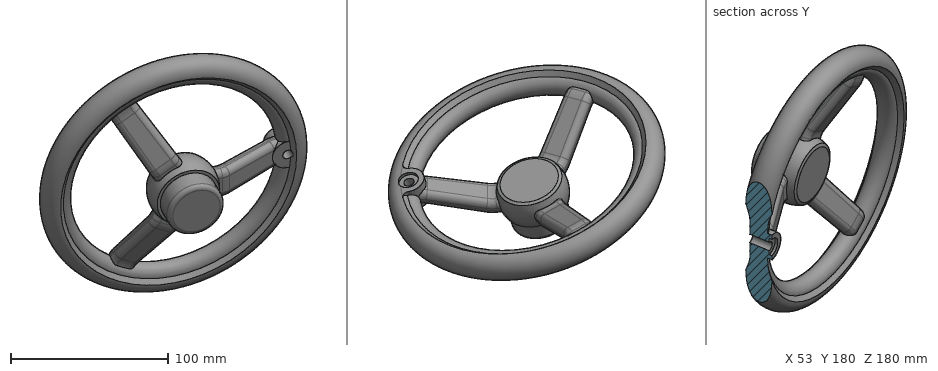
import cadquery as cq
import math


GRIP_RADIUS = 10.0
RIM_OUTER_RADIUS = 90.0
GRIP_CENTRE_RADIUS = RIM_OUTER_RADIUS - GRIP_RADIUS
RIM_MID_X = GRIP_RADIUS
CORE_RADIUS = 7.0
CORE_CENTRE_RADIUS = RIM_OUTER_RADIUS - 2 * GRIP_RADIUS + CORE_RADIUS

HUB_MID_X = 28.0
HUB_BALL_RADIUS = 23.4
HUB_HALF_LENGTH = 10.0
HUB_FRONT_FACE_RADIUS = 19.0
HUB_FRONT_BEVEL_DEPTH = 0.8
STUB_RADIUS = 19.0
STUB_END_X = 53.0
STUB_ROUND = 3.0

SPOKE_COUNT = 3
SPOKE_HUB_WIDTH = 21.2
SPOKE_RIM_WIDTH = 18.8
SPOKE_HUB_THICKNESS = 10.6
SPOKE_RIM_THICKNESS = 10.1
SPOKE_INNER_RADIUS = 15.0
SPOKE_HUB_BEND_RADIUS = 26.6
SPOKE_RIM_BEND_RADIUS = 68.0
BEND_STAGGER = 1.0
SPOKE_HUB_BEND_ROUND = 13.0
SPOKE_RIM_BEND_ROUND = 16.0
SPOKE_EDGE_ROUND = 4.5

LUG_Y = 75.0
LUG_RADIUS = 10.3
LUG_CORNER_ROUND = 4.0
HANDLE_HOLE_DIAMETER = 6.6
COUNTERBORE_DIAMETER = 13.1
COUNTERBORE_DEPTH = 2.0


def revolve_about_x(outline):
    return outline.close().revolve(360, (0, 0, 0), (1, 0, 0))


def make_rim():
    grip = revolve_about_x(
        cq.Workplane("XY")
        .moveTo(0, GRIP_CENTRE_RADIUS)
        .threePointArc((RIM_MID_X, RIM_OUTER_RADIUS), (2 * GRIP_RADIUS, GRIP_CENTRE_RADIUS))
        .lineTo(RIM_MID_X + CORE_RADIUS, CORE_CENTRE_RADIUS)
        .lineTo(RIM_MID_X - CORE_RADIUS, CORE_CENTRE_RADIUS)
    )
    core = revolve_about_x(
        cq.Workplane("XY")
        .moveTo(RIM_MID_X - CORE_RADIUS, CORE_CENTRE_RADIUS)
        .threePointArc(
            (RIM_MID_X, CORE_CENTRE_RADIUS - CORE_RADIUS),
            (RIM_MID_X + CORE_RADIUS, CORE_CENTRE_RADIUS),
        )
    )
    return grip.union(core)


def make_hub():
    ball_end_radius = math.sqrt(HUB_BALL_RADIUS**2 - HUB_HALF_LENGTH**2)
    ball_front_x = HUB_MID_X - HUB_HALF_LENGTH
    ball_back_x = HUB_MID_X + HUB_HALF_LENGTH
    hub = revolve_about_x(
        cq.Workplane("XY")
        .moveTo(ball_front_x - HUB_FRONT_BEVEL_DEPTH, 0)
        .lineTo(ball_front_x - HUB_FRONT_BEVEL_DEPTH, HUB_FRONT_FACE_RADIUS)
        .lineTo(ball_front_x, ball_end_radius)
        .threePointArc((HUB_MID_X, HUB_BALL_RADIUS), (ball_back_x, ball_end_radius))
        .lineTo(ball_back_x, STUB_RADIUS)
        .lineTo(STUB_END_X, STUB_RADIUS)
        .lineTo(STUB_END_X, 0)
    )
    return hub.faces(">X").edges().fillet(STUB_ROUND)


def round_bends(bar, bend_radius, round_radius):
    """Round the front and back corners of the bend at one distance from the wheel axis."""
    reach = 2 * BEND_STAGGER
    around_bend = cq.selectors.BoxSelector(
        (0, bend_radius - reach, -reach), (STUB_END_X, bend_radius + reach, reach)
    )
    return bar.edges("|Z").edges(around_bend).fillet(round_radius)


def make_spoke():
    """The spoke that points along +Y."""
    hub_half = SPOKE_HUB_THICKNESS / 2
    rim_half = SPOKE_RIM_THICKNESS / 2
    side = (
        cq.Workplane("XY")
        .moveTo(HUB_MID_X - hub_half, SPOKE_INNER_RADIUS)
        .lineTo(HUB_MID_X - hub_half, SPOKE_HUB_BEND_RADIUS - BEND_STAGGER)
        .lineTo(RIM_MID_X - rim_half, SPOKE_RIM_BEND_RADIUS - BEND_STAGGER)
        .lineTo(RIM_MID_X - rim_half, CORE_CENTRE_RADIUS)
        .lineTo(RIM_MID_X + rim_half, CORE_CENTRE_RADIUS)
        .lineTo(RIM_MID_X + rim_half, SPOKE_RIM_BEND_RADIUS + BEND_STAGGER)
        .lineTo(HUB_MID_X + hub_half, SPOKE_HUB_BEND_RADIUS + BEND_STAGGER)
        .lineTo(HUB_MID_X + hub_half, SPOKE_INNER_RADIUS)
        .close()
        .extrude(SPOKE_HUB_WIDTH / 2, both=True)
    )
    side = round_bends(side, SPOKE_HUB_BEND_RADIUS, SPOKE_HUB_BEND_ROUND)
    side = round_bends(side, SPOKE_RIM_BEND_RADIUS, SPOKE_RIM_BEND_ROUND)
    front = (
        cq.Workplane("YZ")
        .moveTo(SPOKE_INNER_RADIUS, -SPOKE_HUB_WIDTH / 2)
        .lineTo(CORE_CENTRE_RADIUS, -SPOKE_RIM_WIDTH / 2)
        .lineTo(CORE_CENTRE_RADIUS, SPOKE_RIM_WIDTH / 2)
        .lineTo(SPOKE_INNER_RADIUS, SPOKE_HUB_WIDTH / 2)
        .close()
        .extrude(STUB_END_X)
    )
    bar = side.intersect(front)
    long_edges = bar.faces(">Z or <Z").edges("not(<Y or >Y)")
    return long_edges.fillet(SPOKE_EDGE_ROUND)


def make_lug():
    """A round lug blended into the inner edge of the grip."""
    blend_centre_radius = GRIP_CENTRE_RADIUS - LUG_CORNER_ROUND
    blend_reach = LUG_RADIUS + LUG_CORNER_ROUND
    blend_y = (blend_centre_radius**2 + LUG_Y**2 - blend_reach**2) / (2 * LUG_Y)
    blend_z = math.sqrt(blend_centre_radius**2 - blend_y**2)
    tangent_share = LUG_RADIUS / blend_reach
    lug_touch = (LUG_Y + (blend_y - LUG_Y) * tangent_share, blend_z * tangent_share)
    grip_share = GRIP_CENTRE_RADIUS / blend_centre_radius
    grip_touch = (blend_y * grip_share, blend_z * grip_share)
    aim_y = lug_touch[0] + grip_touch[0] - 2 * blend_y
    aim_z = lug_touch[1] + grip_touch[1] - 2 * blend_z
    aim_length = math.hypot(aim_y, aim_z)
    blend_mid = (
        blend_y + LUG_CORNER_ROUND * aim_y / aim_length,
        blend_z + LUG_CORNER_ROUND * aim_z / aim_length,
    )

    def below(point):
        return (point[0], -point[1])

    return (
        cq.Workplane("YZ")
        .moveTo(*grip_touch)
        .threePointArc(blend_mid, lug_touch)
        .threePointArc((LUG_Y - LUG_RADIUS, 0), below(lug_touch))
        .threePointArc(below(blend_mid), below(grip_touch))
        .threePointArc((GRIP_CENTRE_RADIUS, 0), grip_touch)
        .close()
        .extrude(RIM_MID_X + CORE_RADIUS)
    )


def make_handle_hole():
    hole = (
        cq.Workplane("YZ")
        .center(LUG_Y, 0)
        .circle(HANDLE_HOLE_DIAMETER / 2)
        .extrude(2 * GRIP_RADIUS)
    )
    counterbore = (
        cq.Workplane("YZ")
        .center(LUG_Y, 0)
        .circle(COUNTERBORE_DIAMETER / 2)
        .extrude(COUNTERBORE_DEPTH)
    )
    return hole.union(counterbore)


wheel = make_rim().union(make_hub())
spoke = make_spoke()
for index in range(SPOKE_COUNT):
    wheel = wheel.union(spoke.rotate((0, 0, 0), (1, 0, 0), index * 360 / SPOKE_COUNT))
result = wheel.union(make_lug()).cut(make_handle_hole())